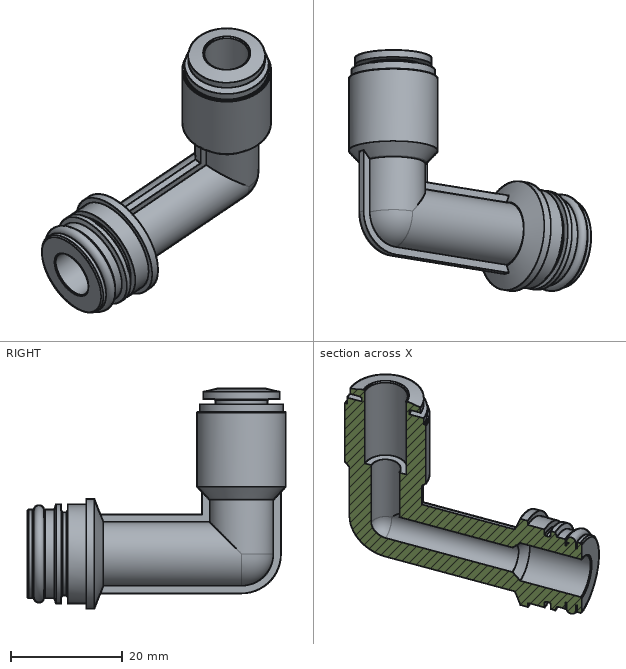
import cadquery as cq


total_length = 46.5
body_dia = 16.0
spigot_length = total_length - body_dia / 2
socket_height = 29.7

tube_dia = 11.55
bore_dia = 5.5
rib_thickness = 1.35
rib_reach = 7.1
rib_top = 11.62
rib_front = 25.58

collar_dia = 13.8
collar_crown_depth = 0.6
collar_depth = 1.9
neck_dia = 9.4
neck_chamfer = 0.25
cap_dia = 15.05
cap_top_depth = 2.85
body_top_depth = 4.25
body_chamfer = 0.15
body_bottom_depth = 17.62
cone_bottom_depth = 19.8
cone_end_dia = 11.95
socket_bore_dia = 8.0
socket_bore_depth = 16.75
socket_bore_mouth_dia = 8.5
socket_bore_chamfer = 0.25

flange_dia = 19.75
flange_cone_start = 13.65
flange_cone_dia = 11.75
flange_back = 12.1
flange_front = 10.6
land_dia = 17.9
land_front = 7.3
clip_groove_dia = 15.0
clip_groove_chamfer = 0.3
ring_back = 6.15
ring_front = 5.2
ring_chamfer = 0.33
nose_dia = 16.0
seal_groove_dia = 13.0
seal_groove_back = 3.25
seal_groove_front = 0.98
nose_chamfer = 0.3
seal_dia = 17.55
seal_thickness = 1.85
seal_centre = 2.15
spigot_mouth_dia = 8.85
spigot_bore_dia = 8.5
spigot_mouth_chamfer = 0.2
spigot_bore_depth = 12.1


def revolve_profile(points):
    """Revolve (diameter, height) points, closed along the axis, about Z."""
    outline = [(0, points[0][1])] + [(dia / 2, z) for dia, z in points] + [(0, points[-1][1])]
    return cq.Workplane("XZ").polyline(outline).close().revolve(360, (0, 0), (0, 1))


def to_socket(profile):
    """Place a shape built downward from z = 0 at the top of the socket."""
    return profile.translate((0, 0, socket_height))


def to_spigot(profile):
    """Turn a shape built downward from z = 0 onto the spigot end face."""
    return profile.rotate((0, 0, 0), (1, 0, 0), 90).translate((0, -spigot_length, 0))


def elbow(dia):
    """Two round legs meeting in a ball at the elbow centre."""
    upright = cq.Workplane("XY").circle(dia / 2).extrude(socket_height - cone_bottom_depth)
    level = cq.Workplane("XZ").circle(dia / 2).extrude(spigot_length - flange_back)
    return upright.union(level).union(cq.Workplane("XY").sphere(dia / 2))


def rib():
    """Flat L-shaped web on the centre plane, rounded round the outer corner."""
    corner = rib_reach * 0.5 ** 0.5
    return (
        cq.Workplane("YZ")
        .moveTo(rib_reach, rib_top)
        .lineTo(rib_reach, 0)
        .threePointArc((corner, -corner), (0, -rib_reach))
        .lineTo(-rib_front, -rib_reach)
        .lineTo(-rib_front, rib_reach)
        .lineTo(-rib_reach, rib_reach)
        .lineTo(-rib_reach, rib_top)
        .close()
        .extrude(rib_thickness / 2, both=True)
    )


def socket():
    """Tube socket with its cap and release collar."""
    return to_socket(revolve_profile([
        (socket_bore_mouth_dia, 0),
        (collar_dia, -collar_crown_depth),
        (collar_dia, -collar_depth),
        (neck_dia + 2 * neck_chamfer, -collar_depth),
        (neck_dia, -collar_depth - neck_chamfer),
        (neck_dia, -cap_top_depth),
        (cap_dia, -cap_top_depth),
        (cap_dia, -body_top_depth),
        (body_dia - 2 * body_chamfer, -body_top_depth),
        (body_dia, -body_top_depth - body_chamfer),
        (body_dia, -body_bottom_depth),
        (cone_end_dia, -cone_bottom_depth),
        (tube_dia, -cone_bottom_depth - (cone_end_dia - tube_dia) / 2),
    ]))


def spigot():
    """Flanged plug with a clip groove, a retaining ring and a seal groove."""
    groove_edge_dia = clip_groove_dia + 2 * clip_groove_chamfer
    return to_spigot(revolve_profile([
        (nose_dia - 2 * nose_chamfer, 0),
        (nose_dia, -nose_chamfer),
        (nose_dia, -seal_groove_front),
        (seal_groove_dia, -seal_groove_front),
        (seal_groove_dia, -seal_groove_back),
        (nose_dia, -seal_groove_back),
        (nose_dia, -ring_front + ring_chamfer),
        (land_dia, -ring_front),
        (land_dia, -ring_back),
        (groove_edge_dia, -ring_back),
        (clip_groove_dia, -ring_back - clip_groove_chamfer),
        (clip_groove_dia, -land_front + clip_groove_chamfer),
        (groove_edge_dia, -land_front),
        (land_dia, -land_front),
        (land_dia, -flange_front),
        (flange_dia, -flange_front),
        (flange_dia, -flange_back),
        (flange_cone_dia, -flange_cone_start),
    ]))


def seal():
    """Round-edged seal ring seated on the groove floor."""
    half = seal_thickness / 2
    edge_centre = seal_dia / 2 - half
    ring = (
        cq.Workplane("XZ")
        .moveTo(0, -seal_centre - half)
        .lineTo(edge_centre, -seal_centre - half)
        .threePointArc((seal_dia / 2, -seal_centre), (edge_centre, -seal_centre + half))
        .lineTo(0, -seal_centre + half)
        .close()
        .revolve(360, (0, 0), (0, 1))
    )
    return to_spigot(ring)


def socket_bore():
    """Tube seat with a chamfered mouth."""
    return to_socket(revolve_profile([
        (socket_bore_mouth_dia, 0),
        (socket_bore_dia, -socket_bore_chamfer),
        (socket_bore_dia, -socket_bore_depth),
        (bore_dia, -socket_bore_depth),
        (bore_dia, -cone_bottom_depth),
    ]))


def spigot_bore():
    """Straight inlet with a 45 degree cone narrowing to the elbow bore."""
    return to_spigot(revolve_profile([
        (spigot_mouth_dia, 0),
        (spigot_bore_dia, -spigot_mouth_chamfer),
        (spigot_bore_dia, -spigot_bore_depth),
        (bore_dia, -spigot_bore_depth - (spigot_bore_dia - bore_dia) / 2),
    ]))


solid_body = elbow(tube_dia).union(rib()).union(socket()).union(spigot()).union(seal())
result = solid_body.cut(elbow(bore_dia)).cut(socket_bore()).cut(spigot_bore())